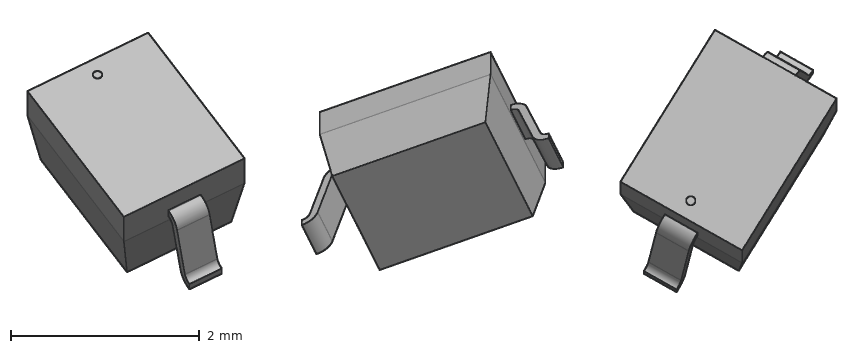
import cadquery as cq
import math

overall_length = 2.84
housing_length = 1.965
housing_width = 1.5
housing_height = 1.15

parting_height = 0.725
taper_inset = 0.102

mark_diameter = 0.1
mark_depth = 0.01
mark_edge_distance = 0.2
mark_x = -housing_length / 2 + mark_edge_distance

lead_width = 0.403
lead_thickness = 0.095
lead_top = 0.892
inner_bend_radius = 0.09
outer_bend_radius = inner_bend_radius + lead_thickness
lean_angle = math.radians(15)
bend_angle = math.pi / 2 - lean_angle


def make_mark():
    return (
        cq.Workplane("XY", origin=(mark_x, 0, housing_height - mark_depth))
        .circle(mark_diameter / 2)
        .extrude(mark_depth)
    )


def make_housing(mark):
    upper = (
        cq.Workplane("XY", origin=(0, 0, parting_height))
        .rect(housing_length, housing_width)
        .extrude(housing_height - parting_height)
    )
    lower = (
        cq.Workplane("XY")
        .rect(housing_length - 2 * taper_inset, housing_width - 2 * taper_inset)
        .workplane(offset=parting_height)
        .rect(housing_length, housing_width)
        .loft(ruled=True)
    )
    return upper.union(lower).cut(mark)


def make_lead(side):
    """Build one lead; side is -1 for the -X end and +1 for the +X end."""
    root_x = housing_length / 2
    tip_x = overall_length / 2

    upper_center_z = lead_top - outer_bend_radius
    lower_center_z = outer_bend_radius
    radius_sum = inner_bend_radius + outer_bend_radius
    leg_drop = lead_top - lead_thickness - radius_sum * (1 - math.cos(bend_angle))
    leg_run = leg_drop * math.tan(lean_angle)
    bend_run = radius_sum * math.sin(bend_angle)
    stub = (tip_x - root_x - leg_run - bend_run) / 2
    upper_center_x = root_x + stub
    lower_center_x = tip_x - stub

    def upper_bend(radius, angle):
        """Point on the upper bend, angle measured from straight up."""
        x = upper_center_x + radius * math.sin(angle)
        return (side * x, upper_center_z + radius * math.cos(angle))

    def lower_bend(radius, angle):
        """Point on the lower bend, angle measured from straight down."""
        x = lower_center_x - radius * math.sin(angle)
        return (side * x, lower_center_z - radius * math.cos(angle))

    half_bend = bend_angle / 2
    return (
        cq.Workplane("XZ")
        .moveTo(side * root_x, lead_top)
        .lineTo(*upper_bend(outer_bend_radius, 0))
        .threePointArc(upper_bend(outer_bend_radius, half_bend), upper_bend(outer_bend_radius, bend_angle))
        .lineTo(*lower_bend(inner_bend_radius, bend_angle))
        .threePointArc(lower_bend(inner_bend_radius, half_bend), lower_bend(inner_bend_radius, 0))
        .lineTo(side * tip_x, lead_thickness)
        .lineTo(side * tip_x, 0)
        .lineTo(*lower_bend(outer_bend_radius, 0))
        .threePointArc(lower_bend(outer_bend_radius, half_bend), lower_bend(outer_bend_radius, bend_angle))
        .lineTo(*upper_bend(inner_bend_radius, bend_angle))
        .threePointArc(upper_bend(inner_bend_radius, half_bend), upper_bend(inner_bend_radius, 0))
        .lineTo(side * root_x, lead_top - lead_thickness)
        .close()
        .extrude(lead_width / 2, both=True)
    )


mark = make_mark()
housing = make_housing(mark)
leads = [make_lead(side) for side in (-1, 1)]

result = cq.Compound.makeCompound([housing.val(), mark.val(), *[lead.val() for lead in leads]])